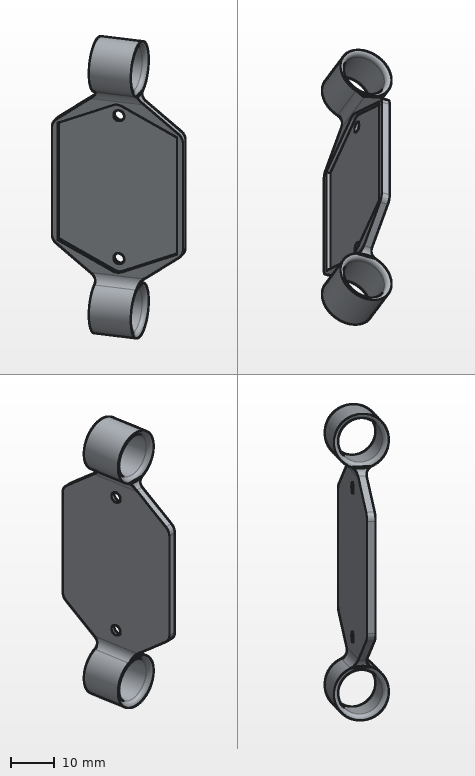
import cadquery as cq
import math

total_height = 71.9
plate_width = 31.65
plate_thickness = 2.0

ring_outer_diameter = 12.9
ring_inner_diameter = 10.35
ring_length = 10.15
rim_round = 1.2

shoulder_height = 14.4
shoulder_angle = 36.6
blend_radius = 2.5

pocket_width = 28.75
pocket_corner_height = 14.3
pocket_peak_height = 20.8
pocket_depth = plate_thickness / 2

hole_diameter = 2.6
hole_height = 17.5

ring_radius = ring_outer_diameter / 2
ring_center_height = total_height / 2 - ring_radius
half_width = plate_width / 2
half_neck = ring_length / 2
half_thickness = plate_thickness / 2
neck_height = shoulder_height + (half_width - half_neck) * math.tan(math.radians(shoulder_angle))


def make_silhouette(depth):
    """Plate and neck outline, extruded symmetrically about the XZ plane."""
    body = (
        cq.Workplane("XZ")
        .moveTo(half_width, -shoulder_height)
        .lineTo(half_width, shoulder_height)
        .lineTo(half_neck, neck_height)
        .lineTo(half_neck, ring_center_height)
        .lineTo(-half_neck, ring_center_height)
        .lineTo(-half_neck, neck_height)
        .lineTo(-half_width, shoulder_height)
        .lineTo(-half_width, -shoulder_height)
        .lineTo(-half_neck, -neck_height)
        .lineTo(-half_neck, -ring_center_height)
        .lineTo(half_neck, -ring_center_height)
        .lineTo(half_neck, -neck_height)
        .close()
        .extrude(depth / 2, both=True)
    )
    blended_heights = (shoulder_height, neck_height)
    corners = body.edges("|Y").filter(
        lambda edge: any(abs(abs(edge.Center().z) - height) < 0.01 for height in blended_heights)
    )
    return corners.fillet(blend_radius)


def make_side_profile():
    """Plate thickness flaring through tangent arcs into both ring circles."""
    arc_center_y = half_thickness + blend_radius
    center_distance = ring_radius + blend_radius
    arc_center_z = ring_center_height - math.sqrt(center_distance**2 - arc_center_y**2)
    tangent_y = arc_center_y * ring_radius / center_distance
    tangent_z = ring_center_height - (ring_center_height - arc_center_z) * ring_radius / center_distance

    def half_profile(end):
        return (
            cq.Workplane("YZ")
            .moveTo(-half_thickness, 0)
            .lineTo(-half_thickness, end * arc_center_z)
            .radiusArc((-tangent_y, end * tangent_z), -end * blend_radius)
            .lineTo(0, end * ring_center_height)
            .lineTo(tangent_y, end * tangent_z)
            .radiusArc((half_thickness, end * arc_center_z), -end * blend_radius)
            .lineTo(half_thickness, 0)
            .close()
            .extrude(half_width, both=True)
        )

    return half_profile(1).union(half_profile(-1))


def make_ring(end):
    return (
        cq.Workplane("YZ")
        .center(0, end * ring_center_height)
        .circle(ring_radius)
        .extrude(half_neck, both=True)
    )


def make_bore(end):
    """Bore whose mouths flare out in a convex quarter round."""
    bore_radius = ring_inner_diameter / 2
    mouth_radius = bore_radius + rim_round
    round_start = half_neck - rim_round
    return (
        cq.Workplane("XY")
        .moveTo(-half_neck, 0)
        .lineTo(-half_neck, mouth_radius)
        .radiusArc((-round_start, bore_radius), -rim_round)
        .lineTo(round_start, bore_radius)
        .radiusArc((half_neck, mouth_radius), -rim_round)
        .lineTo(half_neck, 0)
        .close()
        .revolve(360, (0, 0, 0), (1, 0, 0))
        .translate((0, 0, end * ring_center_height))
    )


def make_pocket():
    half_pocket = pocket_width / 2
    pocket = (
        cq.Workplane("XZ", origin=(0, -half_thickness, 0))
        .moveTo(half_pocket, -pocket_corner_height)
        .lineTo(half_pocket, pocket_corner_height)
        .lineTo(0, pocket_peak_height)
        .lineTo(-half_pocket, pocket_corner_height)
        .lineTo(-half_pocket, -pocket_corner_height)
        .lineTo(0, -pocket_peak_height)
        .close()
        .extrude(-pocket_depth)
    )
    peaks = pocket.edges("|Y").filter(lambda edge: abs(edge.Center().x) < 0.01)
    return peaks.fillet(blend_radius)


def make_holes():
    return (
        cq.Workplane("XZ")
        .pushPoints([(0, hole_height), (0, -hole_height)])
        .circle(hole_diameter / 2)
        .extrude(plate_thickness, both=True)
    )


result = make_silhouette(ring_outer_diameter).intersect(make_side_profile())
for ring_end in (1, -1):
    result = result.union(make_ring(ring_end)).cut(make_bore(ring_end))
result = result.cut(make_pocket()).cut(make_holes())